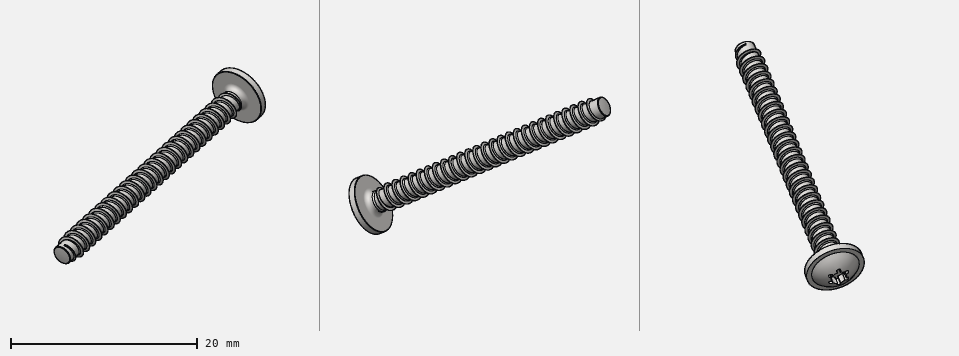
import math

import cadquery as cq


FLANGE_DIAMETER = 6.5
FLANGE_THICKNESS = 0.8
FLANGE_EDGE_CHAMFER = 0.05
DOME_BASE_DIAMETER = 5.35
DOME_APEX_HEIGHT = 2.187

RECESS_TIP_DIAMETER = 2.5
RECESS_LOBE_RADIUS = 0.22
RECESS_CORE_DIAMETER = 1.75
RECESS_DEPTH = 1.1
LOBE_COUNT = 6
FIRST_LOBE_ANGLE = 90.0

SHANK_LENGTH = 32.0
NECK_DIAMETER = 2.4
NECK_LENGTH = 0.75
NECK_TAPER_LENGTH = 0.2
NECK_FILLET = 0.5
CORE_DIAMETER = 2.2
TIP_CHAMFER = 0.07
TIP_CHAMFER_LENGTH = 0.07
TIP_DOME_HEIGHT = 0.06
SEAM_ANGLE = 135.0

THREAD_DIAMETER = 3.0
PITCH = 1.12
FLANK_ANGLE = 30.0
CREST_WIDTH = 0.05
ROOT_FLARE_HEIGHT = 0.1
ROOT_FLARE_WIDTH = 0.15
ROOT_OVERLAP = 0.1
FIRST_FULL_CREST = 2.07
FULL_TURNS = 25
SINKING_TURNS = 1.25
END_HEIGHT = 0.13


def make_blank():
    """Head and plain shank as one turned profile."""
    flange_radius = FLANGE_DIAMETER / 2
    dome_base_radius = DOME_BASE_DIAMETER / 2
    neck_radius = NECK_DIAMETER / 2
    core_radius = CORE_DIAMETER / 2
    tip_radius = core_radius - TIP_CHAMFER
    tip_rim = -SHANK_LENGTH + TIP_DOME_HEIGHT

    dome_rise = DOME_APEX_HEIGHT - FLANGE_THICKNESS
    sphere_radius = (dome_base_radius**2 + dome_rise**2) / (2 * dome_rise)
    dome_mid_radius = dome_base_radius / 2
    dome_mid_height = DOME_APEX_HEIGHT - sphere_radius + math.sqrt(sphere_radius**2 - dome_mid_radius**2)
    fillet_inset = NECK_FILLET * (1 - math.sqrt(0.5))

    profile = (
        cq.Workplane("XZ")
        .moveTo(0, -SHANK_LENGTH)
        .threePointArc((tip_radius / 2, -SHANK_LENGTH + TIP_DOME_HEIGHT / 4), (tip_radius, tip_rim))
        .lineTo(core_radius, tip_rim + TIP_CHAMFER_LENGTH)
        .lineTo(core_radius, -NECK_LENGTH - NECK_TAPER_LENGTH)
        .lineTo(neck_radius, -NECK_LENGTH)
        .lineTo(neck_radius, -NECK_FILLET)
        .threePointArc((neck_radius + fillet_inset, -fillet_inset), (neck_radius + NECK_FILLET, 0))
        .lineTo(flange_radius - FLANGE_EDGE_CHAMFER, 0)
        .lineTo(flange_radius, FLANGE_EDGE_CHAMFER)
        .lineTo(flange_radius, FLANGE_THICKNESS)
        .lineTo(dome_base_radius, FLANGE_THICKNESS)
        .threePointArc((dome_mid_radius, dome_mid_height), (0, DOME_APEX_HEIGHT))
        .close()
    )
    blank = profile.revolve(360, (0, 0, 0), (0, 1, 0))
    return blank.rotate((0, 0, 0), (0, 0, 1), SEAM_ANGLE)


def thread_section():
    """Corners of the thread ridge as (radius, height) pairs about the crest centre."""
    core_radius = CORE_DIAMETER / 2
    crest_radius = THREAD_DIAMETER / 2
    half_crest = CREST_WIDTH / 2
    flank_run = (crest_radius - core_radius - ROOT_FLARE_HEIGHT) * math.tan(math.radians(FLANK_ANGLE / 2))
    half_flank = half_crest + flank_run
    flare_slope = ROOT_FLARE_WIDTH / ROOT_FLARE_HEIGHT
    half_root = half_flank + flare_slope * (ROOT_FLARE_HEIGHT + ROOT_OVERLAP)
    upper_half = [
        (crest_radius, half_crest),
        (core_radius + ROOT_FLARE_HEIGHT, half_flank),
        (core_radius - ROOT_OVERLAP, half_root),
    ]
    lower_half = [(radius, -height) for radius, height in reversed(upper_half)]
    return upper_half + lower_half


def straight_helices(length):
    """Helices of constant radius through the section corners, climbing from Z = 0."""
    return [
        cq.Wire.makeHelix(PITCH, length, radius, cq.Vector(0, 0, height))
        for radius, height in thread_section()
    ]


def sinking_helices():
    """Helices through the section corners that climb from Z = 0 and sink towards the core."""
    length = SINKING_TURNS * PITCH
    sink = (THREAD_DIAMETER - CORE_DIAMETER) / 2 - END_HEIGHT
    slant = math.hypot(length, sink) / length
    half_angle = -math.degrees(math.atan2(sink, length))
    return [
        cq.Wire.makeHelix(PITCH * slant, length * slant, radius, cq.Vector(0, 0, height), angle=half_angle)
        for radius, height in thread_section()
    ]


def ridge_sides(edges):
    """Side faces between neighbouring helices."""
    return [cq.Face.makeRuledSurface(edge, edges[i - 1]) for i, edge in enumerate(edges)]


def ridge_cap(edges):
    """Flat face closing the ridge at the top end of the helices."""
    return cq.Face.makeFromWires(cq.Wire.makePolygon([edge.endPoint() for edge in edges], close=True))


def make_thread():
    """Helical ridge whose ends sink towards the core, at the neck and at the tip."""
    full_length = FULL_TURNS * PITCH
    middle = straight_helices(full_length)
    run_in = [edge.translate((0, 0, full_length)) for edge in sinking_helices()]
    run_out = [edge.rotate((0, 0, 0), (1, 0, 0), 180) for edge in sinking_helices()]

    faces = [ridge_cap(run_in), ridge_cap(run_out)]
    for edges in (middle, run_in, run_out):
        faces += ridge_sides(edges)
    ridge = cq.Solid.makeSolid(cq.Shell.makeShell(faces))
    return cq.Workplane(ridge.translate((0, 0, -FIRST_FULL_CREST - full_length)))


def make_recess():
    """Six-lobe socket, cut from the top of the dome."""
    lobe_centre_radius = RECESS_TIP_DIAMETER / 2 - RECESS_LOBE_RADIUS
    floor = DOME_APEX_HEIGHT - RECESS_DEPTH
    recess = cq.Workplane("XY").workplane(offset=floor).circle(RECESS_CORE_DIAMETER / 2).extrude(RECESS_DEPTH)
    lobes = (
        cq.Workplane("XY")
        .workplane(offset=floor)
        .polarArray(lobe_centre_radius, FIRST_LOBE_ANGLE, 360, LOBE_COUNT)
        .circle(RECESS_LOBE_RADIUS)
        .extrude(RECESS_DEPTH)
    )
    return recess.union(lobes)


screw = make_blank().cut(make_recess()).union(make_thread(), clean=False)
result = screw.rotate((0, 0, 0), (1, 0, 0), -90)